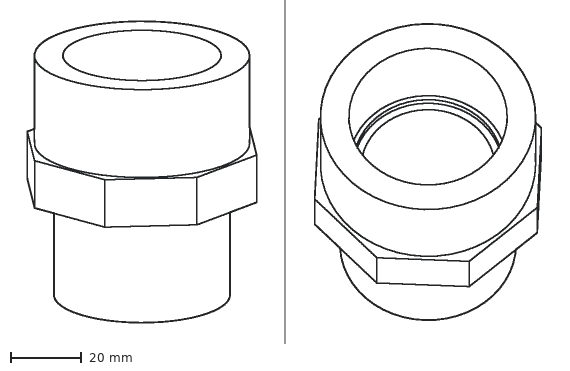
import cadquery as cq

total_height = 71.5
collar_bottom = 31.1
collar_top = 45.25

spigot_diameter = 50.0
collar_corner_diameter = 68.35
collar_sides = 8
socket_diameter = 61.0

through_bore_diameter = 38.0
recess_diameter = 42.2
recess_depth = 2.0
socket_bore_diameter = 44.8
socket_floor = 45.0
recess_floor = socket_floor - recess_depth


def cylinder(diameter, bottom, top):
    """Upright cylinder on the Z axis between two heights."""
    return cq.Workplane("XY").workplane(offset=bottom).circle(diameter / 2).extrude(top - bottom)


spigot = cylinder(spigot_diameter, 0, collar_bottom)
collar = (
    cq.Workplane("XY")
    .workplane(offset=collar_bottom)
    .polygon(collar_sides, collar_corner_diameter)
    .extrude(collar_top - collar_bottom)
)
socket = cylinder(socket_diameter, collar_top, total_height)
body = spigot.union(collar).union(socket)

steps = [
    (through_bore_diameter, 0),
    (recess_diameter, recess_floor),
    (socket_bore_diameter, socket_floor),
]
for diameter, floor in steps:
    body = body.cut(cylinder(diameter, floor, total_height))

result = body